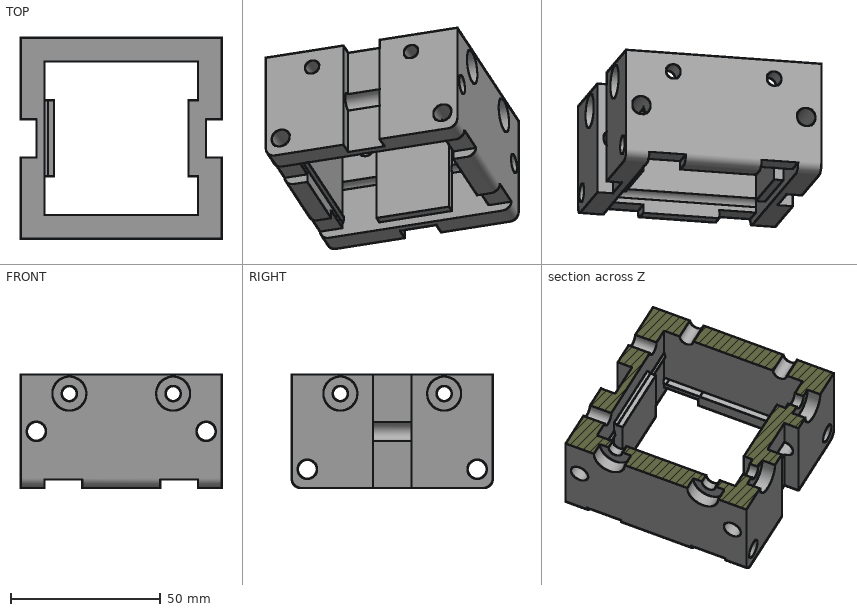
import cadquery as cq
import math

side = 67.5
height = 38.1
wall = 8.0
overlap = 0.7

bore_diameter = 6.35
bore_offset = 28.5
y_bore_height = height / 2
x_bore_height = bore_diameter

screw_diameter = 5.0
screw_offset = 17.4
screw_height = height - 6.4
counterbore_diameter = 11.4
counterbore_depth = 4.7

notch_width = 12.75
notch_depth = side / 2 - bore_offset
pad_width = 25.6
pad_thickness = bore_diameter / 2

relief_height = 2.9
relief_inner = 13.1
edge_radius = bore_diameter / 2

opening = side - 2 * wall

shoulder_radius = bore_diameter
shoulder_reach = 1.15
shoulder_run = bore_offset - opening / 2 + shoulder_reach
left_pad_top = y_bore_height + math.sqrt(shoulder_radius**2 - shoulder_run**2)


def block(x_range, y_range, z_range):
    """Box spanning the given low and high limits on each axis."""
    spans = [high - low for low, high in (x_range, y_range, z_range)]
    corner = (x_range[0], y_range[0], z_range[0])
    return cq.Workplane("XY").box(*spans, centered=False).translate(corner)


def rod(axis, cross, z, diameter, start=-side / 2, length=side):
    """Cylinder along X or Y, at the given place on the other horizontal axis."""
    if axis == "X":
        point, direction = cq.Vector(start, cross, z), cq.Vector(1, 0, 0)
    else:
        point, direction = cq.Vector(cross, start, z), cq.Vector(0, 1, 0)
    return cq.Workplane(cq.Solid.makeCylinder(diameter / 2, length, point, direction))


def make_frame():
    """Square frame with rounded lower edges along X."""
    outer = cq.Workplane("XY").box(side, side, height, centered=(True, True, False))
    outer = outer.edges("|X and <Z").fillet(edge_radius)
    return outer.cut(cq.Workplane("XY").rect(opening, opening).extrude(height))


def add_pads(body):
    """Tall pad on the +X wall and a low one with a rounded shoulder on the -X wall."""
    inner = opening / 2
    span = (-pad_width / 2, pad_width / 2)
    right = block((inner - pad_thickness, inner + overlap), span, (relief_height, height))
    left = block((-inner - overlap, -inner + pad_thickness), span, (relief_height, left_pad_top))
    shoulder = rod("Y", -bore_offset, y_bore_height, 2 * shoulder_radius, span[0], pad_width)
    shoulder_limits = block((-inner - overlap, -inner + shoulder_reach), span, (relief_height, height))
    return body.union(right).union(left).union(shoulder.intersect(shoulder_limits))


def cut_notches(body):
    """Full-height notches in the middle of the outer X faces."""
    floor = side / 2 - notch_depth
    span = (-notch_width / 2, notch_width / 2)
    for limits in ((-side / 2, -floor), (floor, side / 2)):
        body = body.cut(block(limits, span, (0, height)))
    return body


def cut_bores_and_screw_holes(body):
    """Through bores, screw holes and counterbores, mirrored about the centre."""
    for sign in (-1, 1):
        bore = sign * bore_offset
        screw = sign * screw_offset
        body = body.cut(rod("Y", bore, y_bore_height, bore_diameter))
        body = body.cut(rod("X", bore, x_bore_height, bore_diameter))
        for axis, start in (("Y", -side / 2), ("X", side / 2 - counterbore_depth)):
            body = body.cut(rod(axis, screw, screw_height, screw_diameter))
            counterbore = rod(axis, screw, screw_height, counterbore_diameter, start, counterbore_depth)
            body = body.cut(counterbore)
    return body


def cut_reliefs(body):
    """Two shallow gaps under each Y wall."""
    for limits in ((-opening / 2, -relief_inner), (relief_inner, opening / 2)):
        body = body.cut(block(limits, (-side / 2, side / 2), (0, relief_height)))
    return body


frame = make_frame()
frame = add_pads(frame)
frame = cut_notches(frame)
frame = cut_bores_and_screw_holes(frame)
result = cut_reliefs(frame)